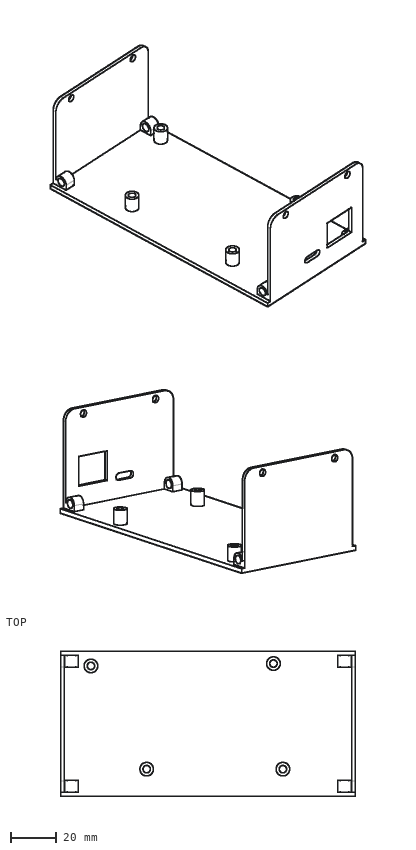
import cadquery as cq

length = 130.2
width = 64.0
total_height = 47.0
base_thickness = 2.1

wall_thickness = 1.7
wall_inset = 1.8
wall_width = width - 2 * wall_inset
wall_height = total_height - base_thickness
wall_corner_radius = 5.0
wall_hole_diameter = 3.3
wall_hole_offset_y = 20.2
wall_hole_drop = 3.0

window_width = 15.9
window_height = 13.5
window_center_y = 14.8
window_bottom = 9.1
slot_length = 9.6
slot_height = 3.3
slot_center_y = -2.9
slot_center_height = 9.8

lug_diameter = 6.0
lug_bore_diameter = 3.8
lug_depth = 5.2
lug_axis_height = 2.9
lug_axis_from_end = 4.8

post_diameter = 6.0
post_bore_diameter = 3.3
post_height = 6.8
post_positions = [(-51.7, 25.5), (-27.1, -20.0), (28.9, 26.5), (33.0, -20.0)]


def plate():
    """Base plate with its top face at base_thickness."""
    return cq.Workplane("XY").box(length, width, base_thickness, centered=(True, True, False))


def end_wall(side):
    """End wall with rounded top corners and two holes; side is -1 or 1."""
    wall = (
        cq.Workplane("XY")
        .box(wall_thickness, wall_width, wall_height, centered=(True, True, False))
        .edges("|X and >Z")
        .fillet(wall_corner_radius)
    )
    hole_height = wall_height - wall_hole_drop
    holes = (
        cq.Workplane("YZ")
        .pushPoints([(-wall_hole_offset_y, hole_height), (wall_hole_offset_y, hole_height)])
        .circle(wall_hole_diameter / 2)
        .extrude(wall_thickness, both=True)
    )
    return wall.cut(holes).translate((side * (length - wall_thickness) / 2, 0, base_thickness))


def wall_openings():
    """Cutter for the window and the slot in the +X wall."""
    wall_plane = cq.Workplane("YZ", origin=(length / 2, 0, base_thickness))
    window = (
        wall_plane.center(window_center_y, window_bottom + window_height / 2)
        .rect(window_width, window_height)
        .extrude(-wall_thickness)
    )
    slot = (
        wall_plane.center(slot_center_y, slot_center_height)
        .slot2D(slot_length, slot_height)
        .extrude(-wall_thickness)
    )
    return window.union(slot)


def lug(x_side, y_side):
    """Round-topped lug joined to a wall; its outer face is flush with the wall edge."""
    axis_x = x_side * (length / 2 - lug_axis_from_end)
    inner_x = axis_x - x_side * lug_diameter / 2
    outer_x = x_side * length / 2
    axis_z = base_thickness + lug_axis_height
    center_y = y_side * (wall_width - lug_depth) / 2
    lug_plane = cq.Workplane("XZ", origin=(0, center_y + lug_depth / 2, 0))
    foot = (
        lug_plane.center((inner_x + outer_x) / 2, base_thickness + lug_axis_height / 2)
        .rect(abs(outer_x - inner_x), lug_axis_height)
        .extrude(lug_depth)
    )
    axis_plane = lug_plane.center(axis_x, axis_z)
    barrel = axis_plane.circle(lug_diameter / 2).extrude(lug_depth)
    bore = axis_plane.circle(lug_bore_diameter / 2).extrude(lug_depth)
    return foot.union(barrel).cut(bore)


def posts():
    """Tubular standoffs on top of the base plate."""
    return (
        cq.Workplane("XY", origin=(0, 0, base_thickness))
        .pushPoints(post_positions)
        .circle(post_diameter / 2)
        .circle(post_bore_diameter / 2)
        .extrude(post_height)
    )


result = plate().union(posts())
for x_side in (-1, 1):
    result = result.union(end_wall(x_side))
    for y_side in (-1, 1):
        result = result.union(lug(x_side, y_side))
result = result.cut(wall_openings())